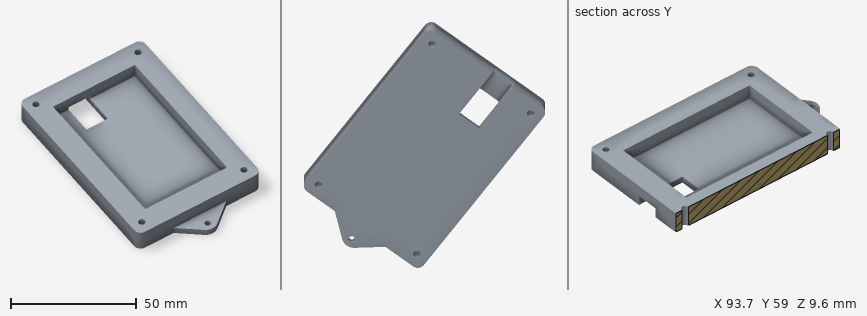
import cadquery as cq
import math

total_length = 93.7
housing_length = 84.9
housing_width = 59.0
housing_height = 9.6
corner_radius = 3.0
rim_width = 9.8
floor_thickness = 3.0

screw_hole_diameter = 2.9
screw_hole_inset = 5.0

slot_length = 22.5
slot_width = 10.2
slot_height = 4.5
slot_center_y = -7.0

tab_length = total_length - housing_length
tab_base_width = 25.2
tab_thickness = 3.0
tab_tip_radius = 5.0
tab_hole_diameter = 2.5
tab_hole_edge_distance = 3.4


def make_housing():
    """Rounded block with an open pocket, four screw holes and a cable slot."""
    body = (
        cq.Workplane("XY")
        .rect(housing_length, housing_width)
        .extrude(housing_height)
        .edges("|Z")
        .fillet(corner_radius)
    )

    pocket = (
        cq.Workplane("XY", origin=(0, 0, floor_thickness))
        .rect(housing_length - 2 * rim_width, housing_width - 2 * rim_width)
        .extrude(housing_height - floor_thickness)
    )

    screw_holes = (
        cq.Workplane("XY")
        .rect(
            housing_length - 2 * screw_hole_inset,
            housing_width - 2 * screw_hole_inset,
            forConstruction=True,
        )
        .vertices()
        .circle(screw_hole_diameter / 2)
        .extrude(housing_height)
    )

    slot_center_x = (slot_length - housing_length) / 2
    slot = (
        cq.Workplane("XY", origin=(slot_center_x, slot_center_y, 0))
        .rect(slot_length, slot_width)
        .extrude(slot_height)
    )

    return body.cut(pocket).cut(screw_holes).cut(slot)


def make_tab():
    """Triangular plate with a rounded tip and a hanging hole."""
    base_x = housing_length / 2
    tip_x = base_x + tab_length
    half_base = tab_base_width / 2

    arc_center_offset = tab_length - tab_tip_radius
    base_corner_distance = math.hypot(arc_center_offset, half_base)
    base_corner_angle = math.atan2(half_base, -arc_center_offset)
    tangent_angle = base_corner_angle - math.acos(tab_tip_radius / base_corner_distance)
    tangent_x = base_x + arc_center_offset + tab_tip_radius * math.cos(tangent_angle)
    tangent_y = tab_tip_radius * math.sin(tangent_angle)

    plate = (
        cq.Workplane("XY")
        .moveTo(base_x, -half_base)
        .lineTo(tangent_x, -tangent_y)
        .threePointArc((tip_x, 0), (tangent_x, tangent_y))
        .lineTo(base_x, half_base)
        .close()
        .extrude(tab_thickness)
    )

    hole = (
        cq.Workplane("XY")
        .center(tip_x - tab_hole_edge_distance, 0)
        .circle(tab_hole_diameter / 2)
        .extrude(tab_thickness)
    )
    return plate.cut(hole)


housing = make_housing()
tab = make_tab()

result = cq.Compound.makeCompound([housing.val(), tab.val()])